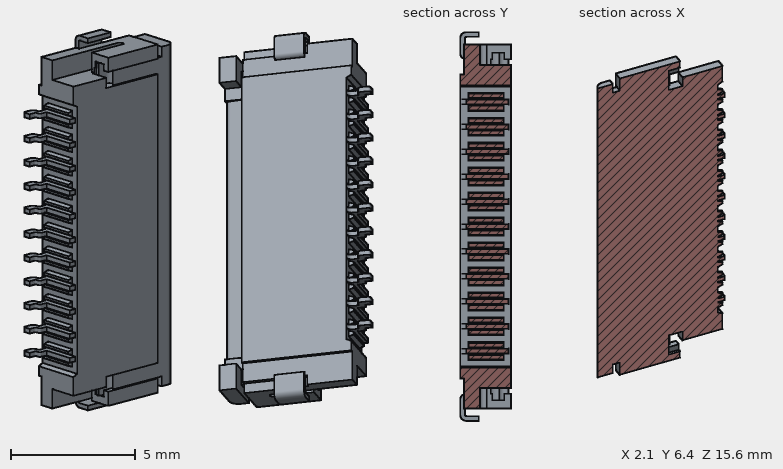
import cadquery as cq


housing_thickness = 2.05
housing_front = -2.4
housing_back = 2.2
half_length = 7.3
end_step_depth = 0.15
end_step_start = 6.1
shelf_depth = 0.34
shelf_start = 6.9
shelf_front = -0.5

recess_depth = 0.2
recess_floor = housing_front + recess_depth
recess_half_length = 5.7
recess_slope = 0.1

notch_left = 0.8
notch_floor = 6.48
notch_back = -0.5
slot_width = 0.28
slot_back = 1.3

passage_left = 1.23
passage_high_left = 1.29
passage_front = -0.6
passage_floor = 6.05
passage_step = 1.78
passage_low_top = 6.7
passage_high_top = 6.97

contact_count = 11
contact_pitch = 1.0
contact_width = 0.2
contact_right = 1.95
contact_front = housing_front - 0.1
tail_left = -0.05
tail_right = 0.33
tail_front = -3.2
jog_left = 0.28
jog_right = 0.57
jog_outer_start = -2.65
jog_inner_start = -2.87
jog_outer_radius = 0.18
jog_small_radius = 0.08
tail_tip_radius = 0.1

rib_left = 0.33
rib_right = 1.76
rib_base_near = 0.12
rib_tip_near = 0.19
rib_tip_far = 0.3
rib_base_far = 0.37

actuator_right = 1.95
actuator_back = 3.2
actuator_corner_radius = 0.37
grip_left = 0.2
grip_front = 2.5
grip_start = passage_floor
grip_end = 7.12
neck_left = 0.9
neck_top = passage_low_top
bar_left = 0.95
panel_half_length = 5.53
panel_left = 1.0
panel_slope = 0.05
panel_edge_radius = 0.2
arm_front = -0.58
arm_ridge = 1.57
groove_depth = 0.6
lug_left = 0.88
lug_right = 1.25
lug_back = housing_back + 0.1
lug_top = neck_top + 0.03
lug_bottom = 5.95

tab_front = -0.41
tab_back = 0.84
tab_thickness = 0.2
tab_right = 0.75
tab_top = 7.8
tab_bend_radius = 0.26
tab_inner_radius = tab_bend_radius - tab_thickness
tab_tip = 6.73


def box(x_range, y_range, z_range):
    """Box spanning the given (low, high) pairs."""
    lows, highs = zip(x_range, y_range, z_range)
    sizes = [high - low for low, high in zip(lows, highs)]
    return cq.Workplane("XY").box(*sizes, centered=False).translate(lows)


def both_ends(shape):
    """The shape at the +Z end together with its mirror image at the -Z end."""
    return shape.union(shape.mirror("XY"))


def make_housing():
    """Plain block with a full-depth step and a deeper rear shelf at each end."""
    housing = box((0, housing_thickness), (housing_front, housing_back), (-half_length, half_length))
    end_step = box((0, end_step_depth), (housing_front, housing_back), (end_step_start, half_length))
    shelf = box((0, shelf_depth), (shelf_front, housing_back), (shelf_start, half_length))
    return housing.cut(both_ends(end_step)).cut(both_ends(shelf))


def make_front_recess():
    """Shallow recess across the whole thickness, with sloping end walls."""
    floor_half_length = recess_half_length - recess_slope
    return (
        cq.Workplane("YZ")
        .moveTo(housing_front, -recess_half_length)
        .lineTo(recess_floor, -floor_half_length)
        .lineTo(recess_floor, floor_half_length)
        .lineTo(housing_front, recess_half_length)
        .close()
        .extrude(housing_thickness)
    )


def make_notch():
    """Corner notch with a round-ended slot running on from it along the notch's left wall."""
    slot_radius = slot_width / 2
    slot_right = notch_left + slot_width
    notch_height = half_length - notch_floor
    return (
        cq.Workplane("XY", origin=(0, 0, notch_floor))
        .moveTo(notch_left, housing_front)
        .lineTo(notch_left, slot_back - slot_radius)
        .threePointArc((notch_left + slot_radius, slot_back), (slot_right, slot_back - slot_radius))
        .lineTo(slot_right, notch_back)
        .lineTo(housing_thickness, notch_back)
        .lineTo(housing_thickness, housing_front)
        .close()
        .extrude(notch_height)
    )


def make_passage():
    """Stepped opening that holds the actuator arm and leaves a gap along the open side."""
    passage_y = (passage_front, housing_back)
    low = box((passage_left, housing_thickness), passage_y, (passage_floor, passage_low_top))
    high = box((passage_high_left, passage_step), passage_y, (passage_floor, passage_high_top))
    return low.union(high)


def make_ribs():
    """Tapered ribs on both sides of a contact, standing on the recess floor."""
    rib = (
        cq.Workplane("YZ", origin=(rib_left, 0, 0))
        .moveTo(recess_floor, rib_base_near)
        .lineTo(housing_front, rib_tip_near)
        .lineTo(housing_front, rib_tip_far)
        .lineTo(recess_floor, rib_base_far)
        .close()
        .extrude(rib_right - rib_left)
    )
    return both_ends(rib)


def make_contact():
    """Flat stamped contact: a bar along the recess and a tail that jogs out to the board."""
    flare_radius = recess_depth
    return (
        cq.Workplane("XY", origin=(0, 0, -contact_width / 2))
        .moveTo(contact_right, recess_floor)
        .lineTo(contact_right, contact_front)
        .lineTo(jog_right, contact_front)
        .lineTo(jog_right, jog_inner_start + jog_small_radius)
        .radiusArc((jog_right - jog_small_radius, jog_inner_start), jog_small_radius)
        .lineTo(tail_right + jog_small_radius, jog_inner_start)
        .radiusArc((tail_right, jog_inner_start - jog_small_radius), -jog_small_radius)
        .lineTo(tail_right, tail_front)
        .lineTo(tail_left + tail_tip_radius, tail_front)
        .radiusArc((tail_left, tail_front + tail_tip_radius), tail_tip_radius)
        .lineTo(tail_left, jog_outer_start - jog_outer_radius)
        .radiusArc((tail_left + jog_outer_radius, jog_outer_start), jog_outer_radius)
        .lineTo(jog_left - jog_small_radius, jog_outer_start)
        .radiusArc((jog_left, jog_outer_start + jog_small_radius), -jog_small_radius)
        .lineTo(jog_left, recess_floor - flare_radius)
        .radiusArc((jog_left - flare_radius, recess_floor), -flare_radius)
        .close()
        .extrude(contact_width)
    )


def make_actuator_bar():
    """Bar behind the housing, with a shallower sloping panel between its two ends."""
    bar = box((bar_left, actuator_right), (housing_back, actuator_back), (-grip_start, grip_start))
    panel_back_left = panel_left + panel_slope
    panel_cut = (
        cq.Workplane("XY", origin=(0, 0, -panel_half_length))
        .moveTo(bar_left, housing_back)
        .lineTo(panel_left, housing_back)
        .lineTo(panel_back_left, actuator_back - panel_edge_radius)
        .radiusArc((panel_back_left + panel_edge_radius, actuator_back), panel_edge_radius)
        .lineTo(bar_left, actuator_back)
        .close()
        .extrude(2 * panel_half_length)
    )
    return bar.cut(panel_cut).edges("|Z and >X and >Y").fillet(actuator_corner_radius)


def make_actuator_end():
    """Grip, the neck joining it to the housing, and the small lug beside the neck."""
    grip = box((grip_left, actuator_right), (grip_front, actuator_back), (grip_start, grip_end))
    neck = box((neck_left, actuator_right), (housing_back, grip_front), (grip_start, neck_top))
    lug = box((lug_left, lug_right), (housing_back, lug_back), (lug_bottom, lug_top))
    rounded_grip = grip.edges("|Z and >X and >Y").fillet(actuator_corner_radius)
    return rounded_grip.union(neck).union(lug)


def make_arm():
    """Arm filling the passage; its front end has a round shoulder beside a round-ended groove."""
    shoulder_radius = arm_ridge - passage_left
    groove_radius = (actuator_right - arm_ridge) / 2
    groove_end = arm_front + groove_depth
    full_height_arm = (
        cq.Workplane("XY", origin=(0, 0, passage_floor))
        .moveTo(passage_left, housing_back)
        .lineTo(passage_left, arm_front + shoulder_radius)
        .radiusArc((arm_ridge, arm_front), -shoulder_radius)
        .lineTo(arm_ridge, groove_end - groove_radius)
        .threePointArc(
            (arm_ridge + groove_radius, groove_end),
            (actuator_right, groove_end - groove_radius),
        )
        .lineTo(actuator_right, housing_back)
        .close()
        .extrude(passage_high_top - passage_floor)
    )
    return full_height_arm.intersect(make_passage())


def make_tab():
    """Bent strip: an upright leg against the housing and a flat leg over its end."""
    flat_bottom = tab_top - tab_thickness
    return (
        cq.Workplane("XZ", origin=(0, tab_back, 0))
        .moveTo(tab_thickness, tab_tip)
        .radiusArc((0, tab_tip + tab_thickness), tab_thickness)
        .lineTo(0, tab_top - tab_bend_radius)
        .radiusArc((tab_bend_radius, tab_top), tab_bend_radius)
        .lineTo(tab_right, tab_top)
        .lineTo(tab_right, flat_bottom)
        .lineTo(tab_bend_radius, flat_bottom)
        .radiusArc((tab_thickness, tab_top - tab_bend_radius), -tab_inner_radius)
        .close()
        .extrude(tab_back - tab_front)
    )


end_cutouts = make_notch().union(make_passage())
result = make_housing().cut(make_front_recess()).cut(both_ends(end_cutouts))

contact_set = make_contact().union(make_ribs())
for index in range(contact_count):
    contact_z = (index - (contact_count - 1) / 2) * contact_pitch
    result = result.union(contact_set.translate((0, 0, contact_z)))

result = result.union(make_actuator_bar())
for end_feature in (make_actuator_end(), make_arm(), make_tab()):
    result = result.union(both_ends(end_feature))